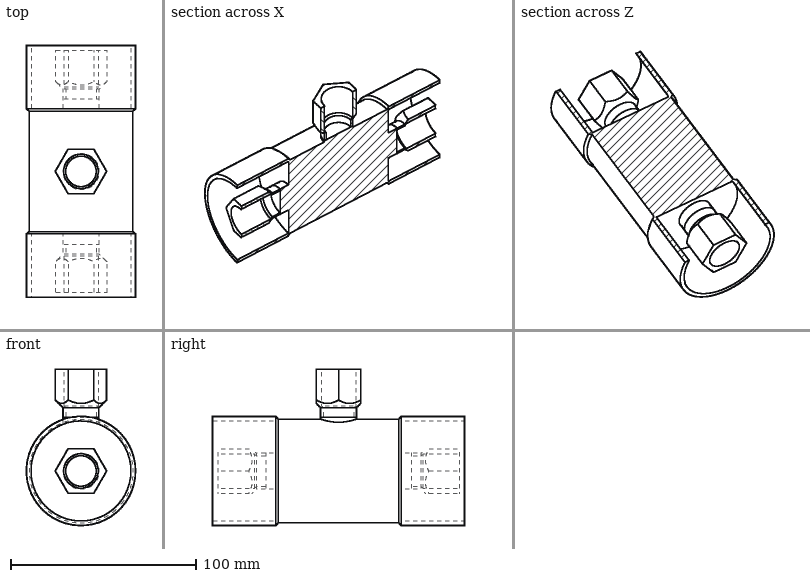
import cadquery as cq

LENGTH = 136.0
SOCKET_DIAMETER = 59.0
SOCKET_BORE = 54.0
CORE_DIAMETER = 56.0
SOCKET_LENGTH = 34.3
SHOULDER = 1.2

HEX_ACROSS_CORNERS = 27.7
NECK_DIAMETER = 19.5
FITTING_LENGTH = 26.0
HEAD_LENGTH = 20.8
HEAD_CHAMFER = (HEX_ACROSS_CORNERS - NECK_DIAMETER) / 2
MOUTH_BORE = 18.6
NECK_BORE = 16.5
BORE_TAPER = (MOUTH_BORE - NECK_BORE) / 2
MOUTH_DEPTH = HEAD_LENGTH - BORE_TAPER

TOP_MOUTH_HEIGHT = 84.5 - SOCKET_DIAMETER / 2
MOUTH_RECESS = 2.7
TOP_SEAT = TOP_MOUTH_HEIGHT - FITTING_LENGTH
END_SEAT = LENGTH / 2 - MOUTH_RECESS - FITTING_LENGTH

SEATS = [
    cq.Plane(origin=(0, 0, TOP_SEAT), xDir=(1, 0, 0), normal=(0, 0, 1)),
    cq.Plane(origin=(0, -END_SEAT, 0), xDir=(1, 0, 0), normal=(0, -1, 0)),
    cq.Plane(origin=(0, END_SEAT, 0), xDir=(1, 0, 0), normal=(0, 1, 0)),
]


def revolve_profile(points):
    """Turn a closed (radius, height) outline about the Z axis."""
    return cq.Workplane("XZ").polyline(points).close().revolve(360, (0, 0, 0), (0, 1, 0))


def make_housing():
    """Core and sockets in one piece, with a round boss under each fitting."""
    socket_radius = SOCKET_DIAMETER / 2
    core_radius = CORE_DIAMETER / 2
    bore_radius = SOCKET_BORE / 2
    end = LENGTH / 2
    socket_edge = end - SOCKET_LENGTH
    core_end = socket_edge - SHOULDER
    upper_outline = [
        (0, socket_edge),
        (bore_radius, socket_edge),
        (bore_radius, end),
        (socket_radius, end),
        (socket_radius, socket_edge),
        (core_radius, core_end),
    ]
    lower_outline = [(radius, -height) for radius, height in reversed(upper_outline)]
    housing = revolve_profile(upper_outline + lower_outline).rotate((0, 0, 0), (1, 0, 0), 90)
    for seat in SEATS:
        boss_height = seat.origin.Length
        boss = cq.Workplane(seat).circle(NECK_DIAMETER / 2).extrude(-boss_height)
        housing = housing.union(boss)
    return housing


def make_fitting(seat):
    """Hexagonal head, coned down to a round neck, with a stepped bore right through."""
    neck_radius = NECK_DIAMETER / 2
    corner_radius = HEX_ACROSS_CORNERS / 2
    neck_top = FITTING_LENGTH - HEAD_LENGTH
    hexagon = cq.Workplane("XY").polygon(6, HEX_ACROSS_CORNERS).extrude(FITTING_LENGTH)
    turned_envelope = revolve_profile([
        (0, 0),
        (neck_radius, 0),
        (neck_radius, neck_top),
        (corner_radius, neck_top + HEAD_CHAMFER),
        (corner_radius, FITTING_LENGTH),
        (0, FITTING_LENGTH),
    ])
    taper_top = FITTING_LENGTH - MOUTH_DEPTH
    bore = revolve_profile([
        (0, 0),
        (NECK_BORE / 2, 0),
        (NECK_BORE / 2, taper_top - BORE_TAPER),
        (MOUTH_BORE / 2, taper_top),
        (MOUTH_BORE / 2, FITTING_LENGTH),
        (0, FITTING_LENGTH),
    ])
    fitting = hexagon.intersect(turned_envelope).cut(bore)
    return fitting.solids().val().moved(cq.Location(seat))


housing = make_housing()
fittings = [make_fitting(seat) for seat in SEATS]

result = cq.Compound.makeCompound([housing.solids().val(), *fittings])